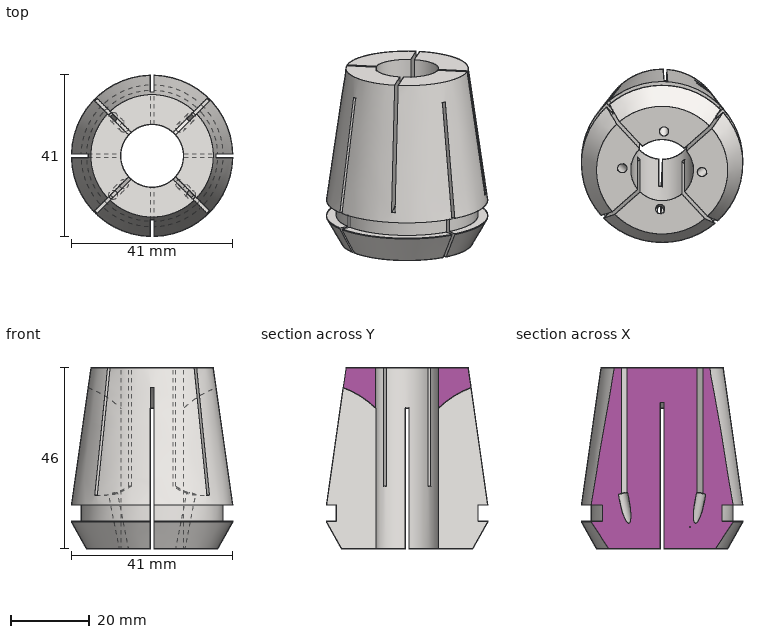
import cadquery as cq
import math

height = 46.0
body_radius = 20.495
top_radius = 15.55
nose_radius = 16.65
rim_bottom = 6.85
rim_top = 7.1
groove_radius = 18.05
groove_top = 11.15
bore_radius = 7.95

slot_count = 4
slot_pitch = 360.0 / slot_count
slot_width = 0.9
saw_radius = 23.9

lower_saw_distance = 24.6
lower_slot_top = 40.95
cone_slope = (body_radius - top_radius) / (height - groove_top)
lower_slot_end_radius = top_radius + cone_slope * (height - lower_slot_top)
lower_saw_rise = math.sqrt(saw_radius**2 - (lower_saw_distance - lower_slot_end_radius) ** 2)
lower_saw_z = lower_slot_top - lower_saw_rise

upper_saw_distance = 18.3
upper_slot_floor = 13.55
upper_saw_z = upper_slot_floor + saw_radius

hole_diameter = 2.3
hole_top_distance = 13.9
hole_bottom_distance = 10.1
hole_top_overrun = 0.45
hole_bottom_overrun = 2.3


def make_body():
    """Double-tapered sleeve with an outer groove and a straight bore."""
    profile = [
        (bore_radius, 0),
        (nose_radius, 0),
        (body_radius, rim_bottom),
        (body_radius, rim_top),
        (groove_radius, rim_top),
        (groove_radius, groove_top),
        (body_radius, groove_top),
        (top_radius, height),
        (bore_radius, height),
    ]
    body = cq.Workplane("XZ").polyline(profile).close().revolve(360, (0, 0, 0), (0, 1, 0))
    return body.rotate((0, 0, 0), (0, 0, 1), slot_pitch / 4)


def make_slot(distance, center_z, travel):
    """Path of a saw disc in the XZ plane, fed vertically by the signed travel."""
    plane = cq.Workplane("XZ")
    disc = plane.center(distance, center_z).circle(saw_radius).extrude(slot_width / 2, both=True)
    path = (
        plane.center(distance, center_z + travel / 2)
        .rect(2 * saw_radius, abs(travel))
        .extrude(slot_width / 2, both=True)
    )
    return disc.union(path)


def make_hole():
    """Cylinder in the XZ plane that leans inward towards the bottom."""
    bottom = cq.Vector(hole_bottom_distance, 0, 0)
    top = cq.Vector(hole_top_distance, 0, upper_slot_floor)
    axis = (top - bottom).normalized()
    length = (top - bottom).Length + hole_bottom_overrun + hole_top_overrun
    start = bottom - axis * hole_bottom_overrun
    return cq.Workplane(cq.Solid.makeCylinder(hole_diameter / 2, length, start, axis))


def cut_around(part, cutter, first_angle):
    """Cut one copy of the cutter per slot position."""
    for index in range(slot_count):
        angle = first_angle + index * slot_pitch
        part = part.cut(cutter.rotate((0, 0, 0), (0, 0, 1), angle))
    return part


lower_slot = make_slot(lower_saw_distance, lower_saw_z, -height)
upper_slot = make_slot(upper_saw_distance, upper_saw_z, height)

result = make_body()
result = cut_around(result, lower_slot, 0)
result = cut_around(result, upper_slot, slot_pitch / 2)
result = cut_around(result, make_hole(), slot_pitch / 2)